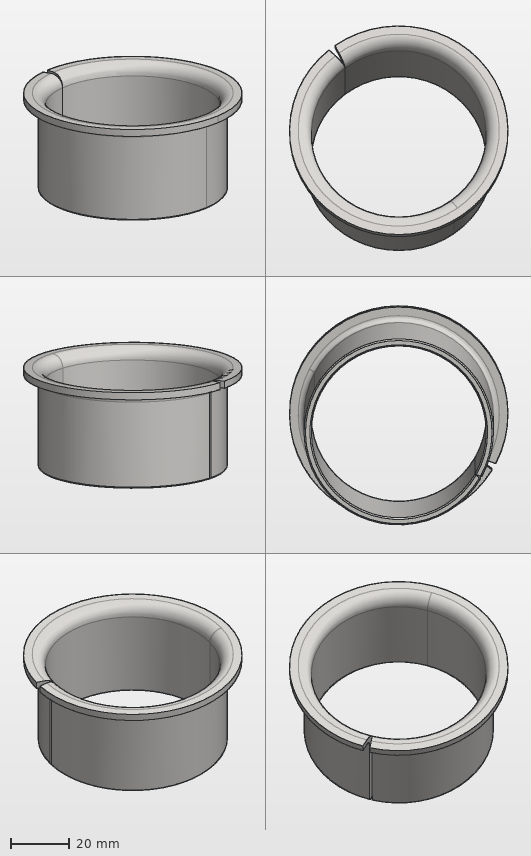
import cadquery as cq
import math

bore_radius = 30.0
wall = 2.5
flange_radius = 37.5
height = 35.0
outer_bend_radius = 2.0
bottom_chamfer = 0.5

slit_rim_angle = 3.9
slit_bore_angle = 2.1
slit_bore_gap_angle = 0.1
slit_inner_overrun = 0.05
slit_outer_overrun = 1.0

body_radius = bore_radius + wall
inner_bend_radius = outer_bend_radius + wall
bend_center_radius = body_radius + outer_bend_radius
bend_center_z = height - inner_bend_radius
flange_underside_z = height - wall


def bend_midpoint(radius):
    """Middle of a quarter bend arc, as (r, z) in the profile plane."""
    offset = radius * math.sqrt(0.5)
    return (bend_center_radius - offset, bend_center_z + offset)


def make_flanged_sleeve():
    """Sleeve of constant wall, flared into a flange at the top."""
    profile = (
        cq.Workplane("XZ")
        .moveTo(bore_radius, bottom_chamfer)
        .lineTo(bore_radius + bottom_chamfer, 0)
        .lineTo(body_radius - bottom_chamfer, 0)
        .lineTo(body_radius, bottom_chamfer)
        .lineTo(body_radius, bend_center_z)
        .threePointArc(bend_midpoint(outer_bend_radius), (bend_center_radius, flange_underside_z))
        .lineTo(flange_radius, flange_underside_z)
        .lineTo(flange_radius, height)
        .lineTo(bend_center_radius, height)
        .threePointArc(bend_midpoint(inner_bend_radius), (bore_radius, bend_center_z))
        .close()
    )
    return profile.revolve(360, (0, 0, 0), (0, 1, 0))


def slit_point(radius, angle):
    """Point at the given radius, turned from -X toward -Y by the angle in degrees."""
    turn = math.radians(angle)
    return cq.Vector(-radius * math.cos(turn), -radius * math.sin(turn))


def slit_flank(rim_angle, bore_angle):
    """Flank of the slit as (inner, outer) ends, both run past the ring."""
    rim_point = slit_point(flange_radius, rim_angle)
    bore_point = slit_point(bore_radius, bore_angle)
    outward = (rim_point - bore_point).normalized()
    return (bore_point - outward * slit_inner_overrun, rim_point + outward * slit_outer_overrun)


def make_slit_cutter():
    """Full-height tapered prism, narrow at the bore; one flank meets the rim at Y = 0."""
    half_gap = slit_bore_gap_angle / 2
    upper_inner, upper_outer = slit_flank(0, slit_bore_angle - half_gap)
    lower_inner, lower_outer = slit_flank(slit_rim_angle, slit_bore_angle + half_gap)
    outline = [point.toTuple()[:2] for point in (upper_inner, upper_outer, lower_outer, lower_inner)]
    return cq.Workplane("XY").polyline(outline).close().extrude(height)


result = make_flanged_sleeve().cut(make_slit_cutter())